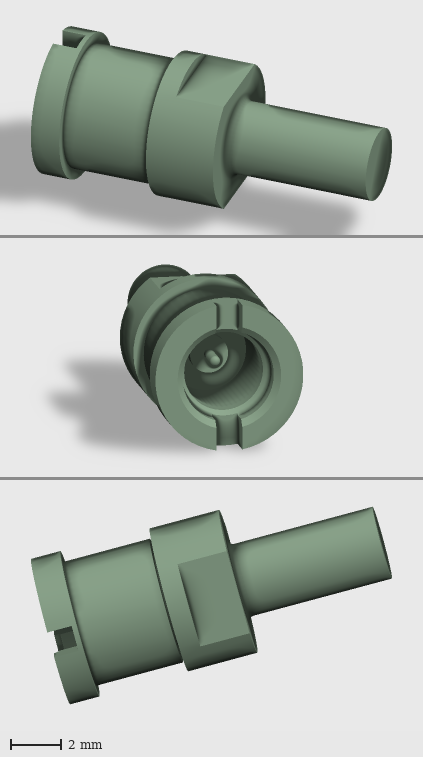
import cadquery as cq


TOTAL_LENGTH = 13.62
FLANGE_LENGTH = 1.2
BARREL_END = 4.75
COLLAR_START = 4.86
COLLAR_END = 7.7
FLATS_START = 5.68

FLANGE_DIA = 5.97
BARREL_DIA = 5.08
NECK_DIA = 3.84
COLLAR_DIA = 5.87
TAIL_DIA = 2.95
TAIL_FILLET = 0.25

ACROSS_FLATS = 4.76
SLOT_WIDTH = 1.04
SLOT_DEPTH = 1.0

SOCKET_DIA = 3.68
SOCKET_MOUTH_CHAMFER = 0.25
BORE_DIA = 3.18
SOCKET_STRAIGHT_END = 0.9
SOCKET_TAPER_LENGTH = 0.32
BORE_START = SOCKET_STRAIGHT_END + SOCKET_TAPER_LENGTH
BORE_FLOOR = BARREL_END

INSULATOR_DIA = 1.54
INSULATOR_HEIGHT = 0.5
PIN_DIA = 0.4
PIN_TIP = 2.8
PIN_DOME_CENTER = PIN_TIP + PIN_DIA / 2


def cylinder(diameter, start, end):
    """Round bar on the X axis from X = start to X = end."""
    return cq.Workplane("YZ").workplane(offset=start).circle(diameter / 2).extrude(end - start)


def make_outer_body():
    """Flange, barrel, neck groove, collar and filleted tail, revolved about X."""
    tail_radius = TAIL_DIA / 2
    fillet_end = COLLAR_END + TAIL_FILLET
    fillet_top = tail_radius + TAIL_FILLET
    fillet_mid_offset = TAIL_FILLET * 0.5 ** 0.5
    fillet_mid = (fillet_end - fillet_mid_offset, fillet_top - fillet_mid_offset)
    profile = (
        cq.Workplane("XZ")
        .lineTo(0, FLANGE_DIA / 2)
        .lineTo(FLANGE_LENGTH, FLANGE_DIA / 2)
        .lineTo(FLANGE_LENGTH, BARREL_DIA / 2)
        .lineTo(BARREL_END, BARREL_DIA / 2)
        .lineTo(BARREL_END, NECK_DIA / 2)
        .lineTo(COLLAR_START, NECK_DIA / 2)
        .lineTo(COLLAR_START, COLLAR_DIA / 2)
        .lineTo(COLLAR_END, COLLAR_DIA / 2)
        .lineTo(COLLAR_END, fillet_top)
        .threePointArc(fillet_mid, (fillet_end, tail_radius))
        .lineTo(TOTAL_LENGTH, tail_radius)
        .lineTo(TOTAL_LENGTH, 0)
        .close()
    )
    return profile.revolve(360, (0, 0, 0), (1, 0, 0))


def make_socket():
    """Chamfered mouth, straight entry, taper and long bore, to be removed."""
    profile = (
        cq.Workplane("XY")
        .lineTo(0, SOCKET_DIA / 2 + SOCKET_MOUTH_CHAMFER)
        .lineTo(SOCKET_MOUTH_CHAMFER, SOCKET_DIA / 2)
        .lineTo(SOCKET_STRAIGHT_END, SOCKET_DIA / 2)
        .lineTo(BORE_START, BORE_DIA / 2)
        .lineTo(BORE_FLOOR, BORE_DIA / 2)
        .lineTo(BORE_FLOOR, 0)
        .close()
    )
    return profile.revolve(360, (0, 0, 0), (1, 0, 0))


def make_flange_slot():
    """Slot running through the flange along Z, open at the mating face."""
    return cq.Workplane("XY").box(
        SLOT_DEPTH, SLOT_WIDTH, FLANGE_DIA, centered=(False, True, True)
    )


def make_flat_cutter(side):
    """Block that leaves one flat on the collar; side is +1 for the top, -1 for the bottom."""
    height = COLLAR_DIA / 2
    block = cq.Workplane("XY").box(
        COLLAR_END - FLATS_START, COLLAR_DIA, height, centered=(False, True, True)
    )
    return block.translate((FLATS_START, 0, side * (ACROSS_FLATS + height) / 2))


def make_contact():
    """Insulator boss and domed pin, both rooted in the solid behind the bore floor."""
    insulator = cylinder(INSULATOR_DIA, BORE_FLOOR - INSULATOR_HEIGHT, COLLAR_START)
    pin = cylinder(PIN_DIA, PIN_DOME_CENTER, COLLAR_START)
    dome = cq.Workplane("XY").sphere(PIN_DIA / 2).translate((PIN_DOME_CENTER, 0, 0))
    return insulator.union(pin).union(dome)


body = make_outer_body().cut(make_socket()).cut(make_flange_slot())
for side in (1, -1):
    body = body.cut(make_flat_cutter(side))

result = body.union(make_contact())